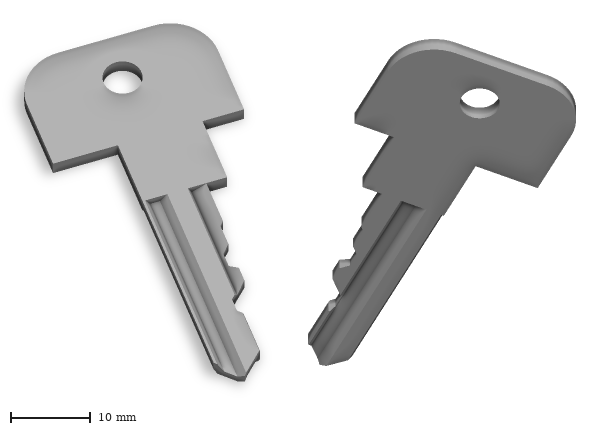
import cadquery as cq

length = 55.2
head_width = 25.4
thickness = 2.0
top_z = thickness / 2
bottom_z = -thickness / 2

head_length = 16.1
corner_radius = 6.35
hole_diameter = 5.0

shoulder_end = 25.4
shoulder_top = 7.2
back_y = -4.1

blade_top = 4.4
tip_top = 2.05
tip_y = (tip_top + back_y) / 2
tip_start = length - (tip_top - tip_y)
back_chamfer_width = 0.4
back_chamfer_height = 0.55

high_cut = 3.9
middle_cut = 2.9
low_cut = 1.4
first_ramp_start = 31.6
middle_cut_start = 36.0
middle_cut_end = 38.0
low_cut_start = 43.55
low_cut_end = 45.45

groove_floor_z = 0.0
top_groove_edge = -3.75
top_groove_floor = (-3.05, -1.75)
rib_edges = (-0.8, 1.95)
valley_y = 2.5
cut_edge_z = 0.9
bottom_groove_edges = (-1.65, 1.9)
bottom_groove_floor = (-0.55, 1.1)


def flat_plate(x_range, y_range):
    """Full-thickness rectangle between the given X and Y limits."""
    x_size = x_range[1] - x_range[0]
    y_size = y_range[1] - y_range[0]
    corner = cq.Workplane("XY", origin=(x_range[0], y_range[0], bottom_z))
    return corner.box(x_size, y_size, thickness, centered=False)


def head():
    plate = flat_plate((0, head_length), (-head_width / 2, head_width / 2))
    plate = plate.edges("|Z and <X").fillet(corner_radius)
    return plate.faces(">Z").workplane(origin=(corner_radius, 0, 0)).hole(hole_diameter)


def shoulder():
    return flat_plate((head_length, shoulder_end), (back_y, shoulder_top))


def blade_outline():
    """Blade seen from above: point at the end and bitting along the +Y edge."""
    points = [
        (shoulder_end, back_y),
        (tip_start, back_y),
        (length, tip_y),
        (tip_start, tip_top),
        (low_cut_end + tip_top - low_cut, tip_top),
        (low_cut_end, low_cut),
        (low_cut_start, low_cut),
        (low_cut_start - (high_cut - low_cut), high_cut),
        (middle_cut_end + high_cut - middle_cut, high_cut),
        (middle_cut_end, middle_cut),
        (middle_cut_start, middle_cut),
        (middle_cut_start - (high_cut - middle_cut), high_cut),
        (first_ramp_start + blade_top - high_cut, high_cut),
        (first_ramp_start, blade_top),
        (shoulder_end, blade_top),
    ]
    return cq.Workplane("XY", origin=(0, 0, bottom_z)).polyline(points).close().extrude(thickness)


def blade_section():
    """Keyway cross-section in Y and Z, drawn along the whole blade."""
    return (
        cq.Workplane("YZ", origin=(shoulder_end, 0, 0))
        .moveTo(back_y, bottom_z + back_chamfer_height)
        .lineTo(back_y, top_z)
        .lineTo(top_groove_edge, top_z)
        .lineTo(top_groove_floor[0], groove_floor_z)
        .lineTo(top_groove_floor[1], groove_floor_z)
        .lineTo(rib_edges[0], top_z)
        .lineTo(rib_edges[1], top_z)
        .lineTo(valley_y, groove_floor_z)
        .lineTo(blade_top, cut_edge_z)
        .lineTo(blade_top, bottom_z)
        .lineTo(bottom_groove_edges[1], bottom_z)
        .lineTo(bottom_groove_floor[1], groove_floor_z)
        .lineTo(bottom_groove_floor[0], groove_floor_z)
        .lineTo(bottom_groove_edges[0], bottom_z)
        .lineTo(back_y + back_chamfer_width, bottom_z)
        .close()
        .extrude(length - shoulder_end)
    )


blade = blade_outline().intersect(blade_section())
result = head().union(shoulder()).union(blade)